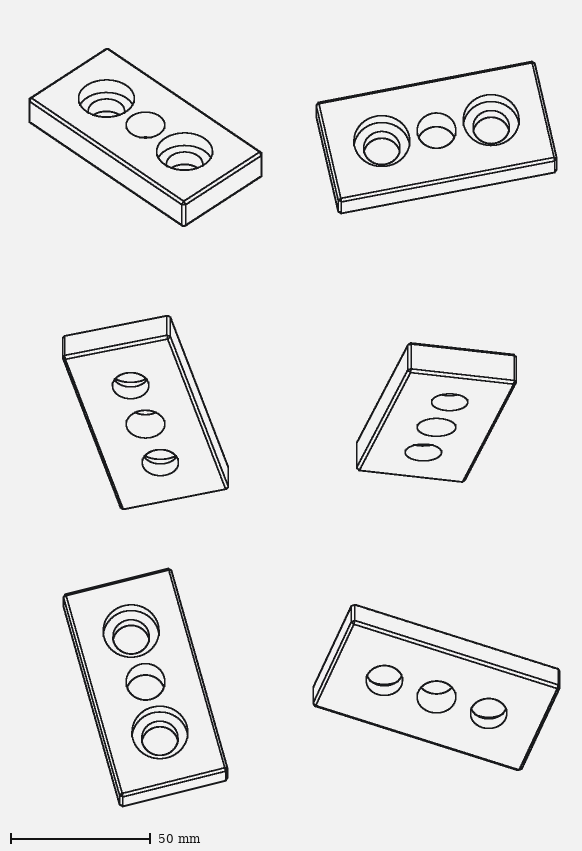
import cadquery as cq

length = 80.0
width = 40.0
thickness = 12.0
edge_chamfer = 1.0

screw_spacing = length / 2
screw_hole_diameter = 13.0
counterbore_diameter = 20.0
counterbore_depth = 6.0

center_hole_diameter = 13.84


def chamfered_plate():
    """Plate with its base on Z = 0 and all twelve edges chamfered."""
    plate = cq.Workplane("XY").box(length, width, thickness, centered=(True, True, False))
    return plate.edges().chamfer(edge_chamfer)


def cut_screw_holes(plate):
    """Through holes counterbored from the top face."""
    hole_centers = [(-screw_spacing / 2, 0), (screw_spacing / 2, 0)]
    top_face = plate.faces(">Z").workplane(origin=(0, 0, thickness))
    return top_face.pushPoints(hole_centers).cboreHole(
        screw_hole_diameter, counterbore_diameter, counterbore_depth
    )


def cut_center_hole(plate):
    """Plain hole through the full thickness."""
    top_face = plate.faces(">Z").workplane(origin=(0, 0, thickness))
    return top_face.hole(center_hole_diameter)


result = cut_center_hole(cut_screw_holes(chamfered_plate()))